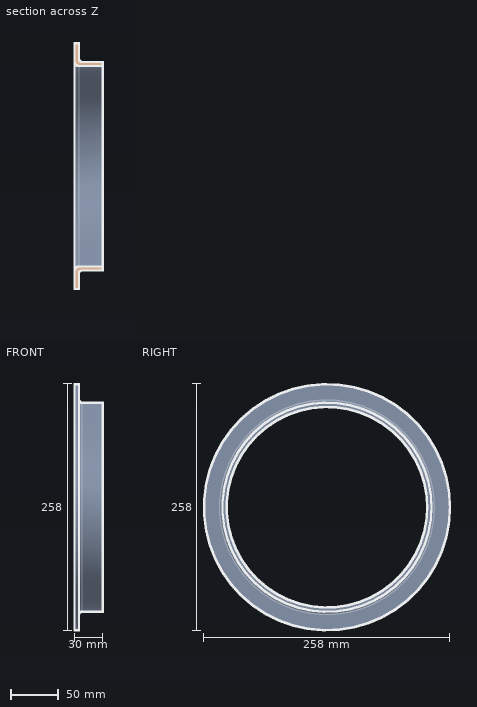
import cadquery as cq

collar_length = 30.0
flange_diameter = 258.0
tube_outer_diameter = 219.1
wall = 4.6
flange_thickness = 5.0
root_fillet = 3.0
mouth_fillet = 5.0

flange_radius = flange_diameter / 2
outer_radius = tube_outer_diameter / 2
bore_radius = outer_radius - wall


def flared_collar():
    """Revolve the L-shaped wall section (x along the axis, y radial) about X."""
    section = (
        cq.Workplane("XY")
        .moveTo(mouth_fillet, bore_radius)
        .lineTo(collar_length, bore_radius)
        .lineTo(collar_length, outer_radius)
        .lineTo(flange_thickness + root_fillet, outer_radius)
        .radiusArc((flange_thickness, outer_radius + root_fillet), root_fillet)
        .lineTo(flange_thickness, flange_radius)
        .lineTo(0, flange_radius)
        .lineTo(0, bore_radius + mouth_fillet)
        .radiusArc((mouth_fillet, bore_radius), -mouth_fillet)
        .close()
    )
    return section.revolve(360, (0, 0, 0), (1, 0, 0))


result = flared_collar()